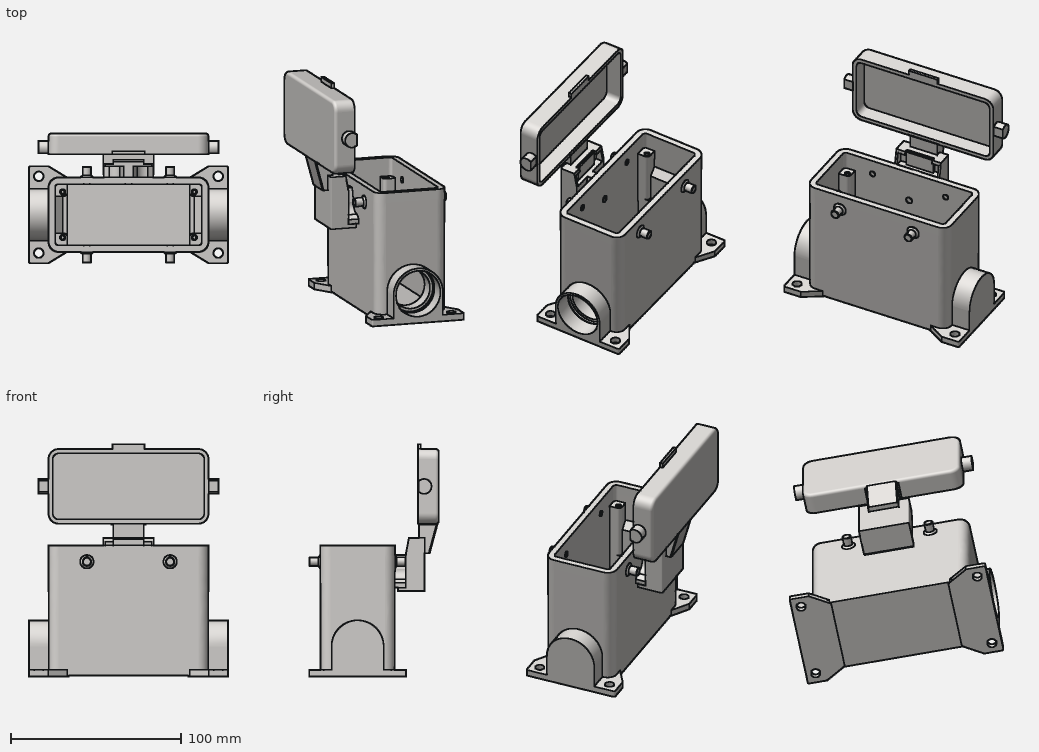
import cadquery as cq

SHELL_LENGTH = 94.0
SHELL_WIDTH = 44.0
SHELL_TOP = 77.0
SHELL_BOTTOM = 0.5
SHELL_CORNER_RADIUS = 6.0
WALL = 4.0
CAVITY_CORNER_RADIUS = 2.0
CAVITY_LENGTH = SHELL_LENGTH - 2 * WALL
CAVITY_WIDTH = SHELL_WIDTH - 2 * WALL
FLOOR_TOP = SHELL_BOTTOM + WALL
RIM_HEIGHT = 6.0
BODY_TOP = SHELL_TOP - RIM_HEIGHT
DRAFT_ANGLE = 0.15

BASE_LENGTH = 117.0
BASE_WIDTH = 57.0
FOOT_THICKNESS = 4.0
FOOT_FULL_WIDTH_LENGTH = 11.5
FOOT_TAPER_LENGTH = 12.0
FOOT_INNER_WIDTH = 42.3
FOOT_CORNER_RADIUS = 1.0
FOOT_HOLE_DIAMETER = 5.5
FOOT_HOLE_X = 52.7
FOOT_HOLE_Y = 22.5

ENTRY_RADIUS = 15.3
ENTRY_AXIS_Z = 17.7
ENTRY_BORE_RADIUS = 13.8
ENTRY_BORE_DEPTH = 10.9
ENTRY_SEAT_RADIUS = 13.4
ENTRY_SEAT_DEPTH = 12.7
ENTRY_OPENING_RADIUS = 11.6

POST_SIZE = 7.1
POST_TOP = 65.9
POST_EDGE_RADIUS = 2.0
POST_HOLE_DIAMETER = 2.2
POST_HOLE_MOUTH_DIAMETER = 3.3
POST_HOLE_DEPTH = 13.6
POST_HOLE_X = 38.6
POST_HOLE_Y = 13.4
PAD_THICKNESS = 4.4
PAD_TOP = 54.2
LOWER_PAD_TOP = ENTRY_AXIS_Z + ENTRY_RADIUS

PIN_X = 24.5
PIN_Z = 67.4
PIN_DIAMETER = 5.0
PIN_TIP_Y = 28.3
PIN_TIP_CHAMFER = 0.3
COLLAR_BASE_RADIUS = 4.0
COLLAR_HEIGHT = 1.1
PIN_SEAT_DIAMETER = 3.4
HINGE_HOLE_DIAMETER = 4.0
HINGE_HOLE_Z = 56.6
SIDE_HOLE_DEPTH = 0.4

HINGE_LENGTH = 29.9
HINGE_FRONT_Y = 28.4
HINGE_BACK_Y = 39.3
HINGE_BOTTOM = 50.1
HINGE_TOP = 81.4
HINGE_TOP_FRONT_Y = 30
HINGE_SLOPE_START_Z = 72.6
HINGE_LIP_Y = 23.6
HINGE_LIP_TOP = 52.3
HINGE_CHEEK = 1.4
HINGE_CAP_THICKNESS = 2.2
HINGE_POCKET_BACK_Y = 32.9
HINGE_RECESS_BACK_Y = 31.1
HINGE_STEP_BACK_Y = 32.4
HINGE_STEP_DEPTH = 0.8
HINGE_EDGE_RADIUS = 0.4
BRACKET_TOP = 71.4
BRACKET_TOP_HALF = 2.7
BRACKET_NECK_HALF = 5.0
BRACKET_NECK_Z = 63.2
BRACKET_SHOULDER_HALF = 11.2
BRACKET_SHOULDER_Z = 57.2
BRACKET_BASE_HALF = 14.6
BRACKET_EDGE_Z = 55.0
BRACKET_ARC_X = 6.7
BRACKET_ARC_Z = 58.8

LID_BACK_Y = 47.8
LID_FRONT_Y = 35.4
LID_HEIGHT = 44.0
LID_CENTER_Z = 111.7
LID_BACK_FILLET = 1.9
LID_WALL = 2.6
LID_PANEL = 2.7
LID_CAVITY_CORNER_RADIUS = 3.4
LID_TAB_LENGTH = 19.0
LID_TAB_THICKNESS = 1.8
LID_TAB_TOP = 136.5
PEG_RADIUS = 4.4
PEG_Y = 39.0
PEG_FLAT_Y = 36.0
PEG_SPAN = 105.9
ARM_LENGTH = 18.0
ARM_FRONT_Y = 36.0
ARM_BOTTOM = 72.3
ARM_BOTTOM_BACK_Y = 42.3
ARM_ROOT_BACK_Y = 47.5
ARM_EDGE_CHAMFER = 0.5
ARM_COLLAR_LENGTH = 20.2
ARM_COLLAR_HEIGHT = 0.7
ARM_COLLAR_BACK_Y = 45.9
ARM_ROOT_Z = LID_CENTER_Z - LID_HEIGHT / 2 + LID_BACK_FILLET

SIDES = (-1, 1)


def box(x_range, y_range, z_range):
    """Box between two X, two Y and two Z limits, given in any order."""
    sizes = [abs(b - a) for a, b in (x_range, y_range, z_range)]
    lows = [min(limits) for limits in (x_range, y_range, z_range)]
    return cq.Workplane("XY").box(*sizes, centered=False).translate(tuple(lows))


def centered_box(length, y_range, z_range):
    """Box of the given X length, centred on X = 0."""
    return box((-length / 2, length / 2), y_range, z_range)


def profile_along_x(points, length):
    """Prism centred on X = 0 whose outline is a list of (y, z) points."""
    return cq.Workplane("YZ").polyline(points).close().extrude(length / 2, both=True)


def rod_along_y(radius, x, z, y_start, y_end):
    """Cylinder parallel to Y."""
    axis = cq.Vector(0, 1 if y_end > y_start else -1, 0)
    return cq.Workplane(cq.Solid.makeCylinder(radius, abs(y_end - y_start), cq.Vector(x, y_start, z), axis))


def rod_along_x(radius, y, z, x_start, length):
    """Cylinder that runs from x_start toward +X."""
    return cq.Workplane(cq.Solid.makeCylinder(radius, length, cq.Vector(x_start, y, z), cq.Vector(1, 0, 0)))


def rounded_block(length, width, radius, z_top, z_bottom, draft=0):
    """Block with rounded vertical corners that narrows downward by the draft angle."""
    outline = cq.Sketch().rect(length, width).vertices().fillet(radius)
    block = cq.Workplane("XY").placeSketch(outline).extrude(z_top - z_bottom, taper=draft)
    return block.mirror("XY").translate((0, 0, z_top))


def make_outer_shell():
    """Straight rim over a slightly drafted body."""
    rim = rounded_block(SHELL_LENGTH, SHELL_WIDTH, SHELL_CORNER_RADIUS, SHELL_TOP, BODY_TOP)
    body = rounded_block(
        SHELL_LENGTH, SHELL_WIDTH, SHELL_CORNER_RADIUS, BODY_TOP, SHELL_BOTTOM, DRAFT_ANGLE
    )
    return body.union(rim)


def make_cavity():
    mouth = rounded_block(CAVITY_LENGTH, CAVITY_WIDTH, CAVITY_CORNER_RADIUS, SHELL_TOP, BODY_TOP)
    lower = rounded_block(
        CAVITY_LENGTH, CAVITY_WIDTH, CAVITY_CORNER_RADIUS, BODY_TOP, FLOOR_TOP, DRAFT_ANGLE
    )
    return lower.union(mouth)


def make_foot(side):
    """Foot plate across one end, tapering toward the long walls, with two screw holes."""
    end_x = BASE_LENGTH / 2
    taper_x = end_x - FOOT_FULL_WIDTH_LENGTH
    inner_x = taper_x - FOOT_TAPER_LENGTH
    corners = [
        (end_x, BASE_WIDTH / 2), (taper_x, BASE_WIDTH / 2), (inner_x, FOOT_INNER_WIDTH / 2),
        (inner_x, -FOOT_INNER_WIDTH / 2), (taper_x, -BASE_WIDTH / 2), (end_x, -BASE_WIDTH / 2),
    ]
    foot = (
        cq.Workplane("XY").polyline(corners).close().extrude(FOOT_THICKNESS)
        .edges("|Z and >X").fillet(FOOT_CORNER_RADIUS)
        .faces("<Z").workplane(origin=(0, 0, 0))
        .pushPoints([(FOOT_HOLE_X, y * FOOT_HOLE_Y) for y in SIDES])
        .hole(FOOT_HOLE_DIAMETER)
    )
    return foot if side > 0 else foot.mirror("YZ")


def make_entry_boss(side):
    """Round-topped boss on one end wall, reaching down to the foot."""
    wall_x = side * (SHELL_LENGTH / 2 - WALL)
    end_x = side * BASE_LENGTH / 2
    start_x = min(wall_x, end_x)
    length = abs(end_x - wall_x)
    dome = rod_along_x(ENTRY_RADIUS, 0, ENTRY_AXIS_Z, start_x, length)
    block = box((wall_x, end_x), (-ENTRY_RADIUS, ENTRY_RADIUS), (0, ENTRY_AXIS_Z))
    upper_half = box((wall_x, end_x), (-ENTRY_RADIUS, ENTRY_RADIUS), (ENTRY_AXIS_Z, LOWER_PAD_TOP))
    return dome.intersect(upper_half).union(block)


def make_entry_bore():
    """Stepped opening through the -X end: bore, shallow seat, passage into the cavity."""
    end_x = -BASE_LENGTH / 2
    passage_length = BASE_LENGTH / 2 - CAVITY_LENGTH / 2 + POST_SIZE
    bore = rod_along_x(ENTRY_BORE_RADIUS, 0, ENTRY_AXIS_Z, end_x, ENTRY_BORE_DEPTH)
    seat = rod_along_x(ENTRY_SEAT_RADIUS, 0, ENTRY_AXIS_Z, end_x, ENTRY_SEAT_DEPTH)
    passage = rod_along_x(ENTRY_OPENING_RADIUS, 0, ENTRY_AXIS_Z, end_x, passage_length)
    return bore.union(seat).union(passage)


def make_post(x_side, y_side):
    """Screw post with a countersunk hole in one corner of the cavity."""
    outer_x = CAVITY_LENGTH / 2
    outer_y = CAVITY_WIDTH / 2
    embed = WALL / 2
    post = (
        box(
            (outer_x - POST_SIZE, outer_x + embed), (outer_y - POST_SIZE, outer_y + embed),
            (FLOOR_TOP, POST_TOP),
        )
        .edges("|Z and <X and <Y").fillet(POST_EDGE_RADIUS)
    )
    hole = (
        cq.Workplane("XY").workplane(offset=POST_TOP - POST_HOLE_DEPTH)
        .center(POST_HOLE_X, POST_HOLE_Y).circle(POST_HOLE_DIAMETER / 2).extrude(POST_HOLE_DEPTH)
    )
    hole_mouth = cq.Workplane(cq.Solid.makeCone(
        POST_HOLE_MOUTH_DIAMETER / 2, POST_HOLE_DIAMETER / 2,
        (POST_HOLE_MOUTH_DIAMETER - POST_HOLE_DIAMETER) / 2,
        cq.Vector(POST_HOLE_X, POST_HOLE_Y, POST_TOP), cq.Vector(0, 0, -1),
    ))
    post = post.cut(hole).cut(hole_mouth)
    if x_side < 0:
        post = post.mirror("YZ")
    if y_side < 0:
        post = post.mirror("XZ")
    return post


def make_end_pad(side):
    """Pad between the two posts of one end, with a 45 degree top and a lower step."""
    wall_x = CAVITY_LENGTH / 2
    face_x = wall_x - PAD_THICKNESS
    step_x = wall_x - POST_SIZE
    outline = [
        (wall_x, FLOOR_TOP), (step_x, FLOOR_TOP), (step_x, LOWER_PAD_TOP), (face_x, LOWER_PAD_TOP),
        (face_x, PAD_TOP - PAD_THICKNESS), (wall_x, PAD_TOP),
    ]
    half_width = CAVITY_WIDTH / 2 - POST_SIZE / 2
    pad = cq.Workplane("XZ").polyline(outline).close().extrude(half_width, both=True)
    return pad if side > 0 else pad.mirror("YZ")


def make_pin(x_side, y_side):
    """Locking pin with a conical collar on one long wall."""
    wall_y = SHELL_WIDTH / 2
    x = x_side * PIN_X
    collar = cq.Workplane(cq.Solid.makeCone(
        COLLAR_BASE_RADIUS, PIN_DIAMETER / 2, COLLAR_HEIGHT,
        cq.Vector(x, y_side * wall_y, PIN_Z), cq.Vector(0, y_side, 0),
    ))
    pin = rod_along_y(PIN_DIAMETER / 2, x, PIN_Z, y_side * (wall_y - WALL / 2), y_side * PIN_TIP_Y)
    pin = pin.faces(">Y" if y_side > 0 else "<Y").chamfer(PIN_TIP_CHAMFER)
    return pin.union(collar)


def make_side_hole(diameter, x, z, y_side):
    """Blind hole sunk into a long wall from the cavity."""
    inner_y = y_side * CAVITY_WIDTH / 2
    return rod_along_y(diameter / 2, x, z, inner_y, inner_y + y_side * SIDE_HOLE_DEPTH)


def make_bracket():
    """Flared bracket that carries the hinge block on the +Y wall."""
    outline = (
        cq.Workplane("XZ").moveTo(-BRACKET_TOP_HALF, BRACKET_TOP)
        .lineTo(BRACKET_TOP_HALF, BRACKET_TOP)
        .lineTo(BRACKET_NECK_HALF, BRACKET_NECK_Z)
        .threePointArc((BRACKET_ARC_X, BRACKET_ARC_Z), (BRACKET_SHOULDER_HALF, BRACKET_SHOULDER_Z))
        .lineTo(BRACKET_BASE_HALF, BRACKET_EDGE_Z)
        .lineTo(BRACKET_BASE_HALF, HINGE_LIP_TOP)
        .lineTo(-BRACKET_BASE_HALF, HINGE_LIP_TOP)
        .lineTo(-BRACKET_BASE_HALF, BRACKET_EDGE_Z)
        .lineTo(-BRACKET_SHOULDER_HALF, BRACKET_SHOULDER_Z)
        .threePointArc((-BRACKET_ARC_X, BRACKET_ARC_Z), (-BRACKET_NECK_HALF, BRACKET_NECK_Z))
        .close()
    )
    wall_y = SHELL_WIDTH / 2 - WALL / 2
    return outline.extrude(wall_y - HINGE_FRONT_Y).translate((0, wall_y, 0))


def make_hinge_block():
    """Hinge block with a bottom lip, a front recess between two pockets, and a lid arm slot."""
    block = profile_along_x([
        (HINGE_BACK_Y, HINGE_BOTTOM), (HINGE_LIP_Y, HINGE_BOTTOM), (HINGE_LIP_Y, HINGE_LIP_TOP),
        (HINGE_FRONT_Y, HINGE_LIP_TOP), (HINGE_FRONT_Y, HINGE_SLOPE_START_Z),
        (HINGE_TOP_FRONT_Y, HINGE_TOP), (HINGE_BACK_Y, HINGE_TOP),
    ], HINGE_LENGTH)
    block = block.edges("|Z and >Y").fillet(HINGE_EDGE_RADIUS)
    recess = centered_box(ARM_LENGTH, (HINGE_LIP_Y, HINGE_RECESS_BACK_Y), (BRACKET_TOP, HINGE_TOP))
    top_step = centered_box(
        ARM_LENGTH, (HINGE_LIP_Y, HINGE_STEP_BACK_Y), (HINGE_TOP - HINGE_STEP_DEPTH, HINGE_TOP)
    )
    pockets = centered_box(
        HINGE_LENGTH - 2 * HINGE_CHEEK, (HINGE_LIP_Y, HINGE_POCKET_BACK_Y),
        (BRACKET_TOP, HINGE_TOP - HINGE_CAP_THICKNESS),
    ).cut(centered_box(ARM_LENGTH, (HINGE_LIP_Y, HINGE_BACK_Y), (BRACKET_TOP, HINGE_TOP)))
    arm_slot = centered_box(ARM_LENGTH, (ARM_FRONT_Y, HINGE_BACK_Y), (ARM_BOTTOM, HINGE_TOP))
    return block.cut(recess).cut(top_step).cut(pockets).cut(arm_slot)


def make_housing():
    housing = make_outer_shell()
    for side in SIDES:
        housing = housing.union(make_foot(side)).union(make_entry_boss(side))
    housing = housing.cut(make_cavity())
    for x_side in SIDES:
        housing = housing.union(make_end_pad(x_side))
        for y_side in SIDES:
            housing = housing.union(make_post(x_side, y_side)).union(make_pin(x_side, y_side))
    housing = housing.cut(make_entry_bore())
    housing = housing.union(make_bracket()).union(make_hinge_block())
    for x_side in SIDES:
        for y_side in SIDES:
            housing = housing.cut(make_side_hole(PIN_SEAT_DIAMETER, x_side * PIN_X, PIN_Z, y_side))
    return housing.cut(make_side_hole(HINGE_HOLE_DIAMETER, 0, HINGE_HOLE_Z, 1))


def make_lid_tray():
    """Shallow tray, open toward -Y."""
    depth = LID_BACK_Y - LID_FRONT_Y
    tray = (
        cq.Workplane("XZ", origin=(0, LID_BACK_Y, LID_CENTER_Z))
        .rect(SHELL_LENGTH, LID_HEIGHT).extrude(depth)
        .edges("|Y").fillet(SHELL_CORNER_RADIUS)
        .faces(">Y").edges().fillet(LID_BACK_FILLET)
    )
    cavity = (
        cq.Workplane("XZ", origin=(0, LID_BACK_Y - LID_PANEL, LID_CENTER_Z))
        .rect(SHELL_LENGTH - 2 * LID_WALL, LID_HEIGHT - 2 * LID_WALL).extrude(depth - LID_PANEL)
        .edges("|Y").fillet(LID_CAVITY_CORNER_RADIUS)
    )
    return tray.cut(cavity)


def make_lid_tab():
    tab_root = LID_CENTER_Z + LID_HEIGHT / 2 - LID_WALL
    tab_back = LID_FRONT_Y + LID_TAB_THICKNESS
    return centered_box(LID_TAB_LENGTH, (LID_FRONT_Y, tab_back), (tab_root, LID_TAB_TOP))


def make_peg(side):
    """Round peg on one end of the lid, with a flat facing the open side of the lid."""
    root_x = side * (SHELL_LENGTH - LID_WALL) / 2
    tip_x = side * PEG_SPAN / 2
    peg = rod_along_x(PEG_RADIUS, PEG_Y, LID_CENTER_Z, min(root_x, tip_x), abs(tip_x - root_x))
    keep = box(
        (root_x, tip_x), (PEG_FLAT_Y, LID_BACK_Y), (LID_CENTER_Z - PEG_RADIUS, LID_CENTER_Z + PEG_RADIUS)
    )
    return peg.intersect(keep)


def make_arm():
    """Tapered arm that reaches down into the hinge block."""
    arm = profile_along_x([
        (ARM_FRONT_Y, ARM_ROOT_Z), (ARM_FRONT_Y, ARM_BOTTOM),
        (ARM_BOTTOM_BACK_Y, ARM_BOTTOM), (ARM_ROOT_BACK_Y, ARM_ROOT_Z),
    ], ARM_LENGTH)
    arm = arm.faces(">Y").edges("not |X").chamfer(ARM_EDGE_CHAMFER)
    collar_bottom = LID_CENTER_Z - LID_HEIGHT / 2 - ARM_COLLAR_HEIGHT
    collar = centered_box(ARM_COLLAR_LENGTH, (ARM_FRONT_Y, ARM_COLLAR_BACK_Y), (collar_bottom, ARM_ROOT_Z))
    return arm.union(collar)


def make_lid():
    lid = make_lid_tray().union(make_lid_tab()).union(make_arm())
    for side in SIDES:
        lid = lid.union(make_peg(side))
    return lid


housing = make_housing()
lid = make_lid()
result = cq.Compound.makeCompound([housing.solids().val(), lid.solids().val()])